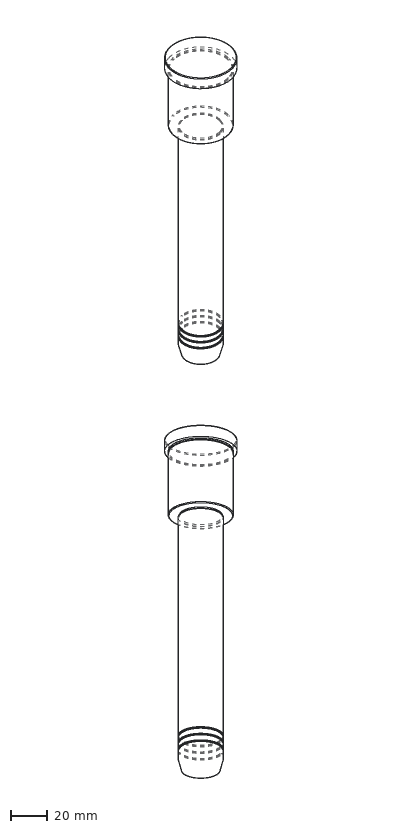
import cadquery as cq
import math

total_length = 200.0

head_radius = 20.0
head_thickness = 7.0
head_chamfer = 0.5

shoulder_radius = 18.0
shoulder_length = 39.0
shoulder_chamfer = 0.5
head_relief_width = 1.0
head_relief_depth = 0.5

shank_radius = 12.5
shank_relief_width = 1.0
shank_relief_depth = 0.5

groove_count = 3
lowest_groove_height = 12.5
groove_pitch = 4.0
groove_width = 1.0
groove_floor_width = 0.5
groove_depth = 0.5

lead_length = 7.0
lead_angle = 15.0
foot_fillet = 0.5

shoulder_top = total_length - head_thickness
shank_top = shoulder_top - shoulder_length
foot_radius = shank_radius - lead_length * math.tan(math.radians(lead_angle))


def add_lead_in(profile):
    return profile.lineTo(foot_radius, 0).lineTo(shank_radius, lead_length)


def add_lubrication_groove(profile, center):
    floor_radius = shank_radius - groove_depth
    return (
        profile.lineTo(shank_radius, center - groove_width / 2)
        .lineTo(floor_radius, center - groove_floor_width / 2)
        .lineTo(floor_radius, center + groove_floor_width / 2)
        .lineTo(shank_radius, center + groove_width / 2)
    )


def add_shank_relief(profile):
    relief_bottom = shank_top - shank_relief_width
    relief_radius = shank_radius - shank_relief_depth
    return (
        profile.lineTo(shank_radius, relief_bottom)
        .lineTo(relief_radius, relief_bottom)
        .lineTo(relief_radius, shank_top)
    )


def add_shoulder(profile):
    return (
        profile.lineTo(shoulder_radius - shoulder_chamfer, shank_top)
        .lineTo(shoulder_radius, shank_top + shoulder_chamfer)
    )


def add_head_relief(profile):
    """Groove with a square lower edge that slopes at 45 degrees back out to the head."""
    relief_bottom = shoulder_top - head_relief_width
    relief_radius = shoulder_radius - head_relief_depth
    return (
        profile.lineTo(shoulder_radius, relief_bottom)
        .lineTo(relief_radius, relief_bottom)
        .lineTo(relief_radius, shoulder_top - head_relief_depth)
        .lineTo(shoulder_radius, shoulder_top)
    )


def add_head(profile):
    return (
        profile.lineTo(head_radius, shoulder_top)
        .lineTo(head_radius, total_length - head_chamfer)
        .lineTo(head_radius - head_chamfer, total_length)
        .lineTo(0, total_length)
    )


def make_pin():
    profile = add_lead_in(cq.Workplane("XZ").moveTo(0, 0))
    for index in range(groove_count):
        profile = add_lubrication_groove(profile, lowest_groove_height + index * groove_pitch)
    profile = add_shank_relief(profile)
    profile = add_shoulder(profile)
    profile = add_head_relief(profile)
    profile = add_head(profile)
    pin = profile.close().revolve(360, (0, 0, 0), (0, 1, 0))
    return pin.faces("<Z").edges().fillet(foot_fillet)


result = make_pin()